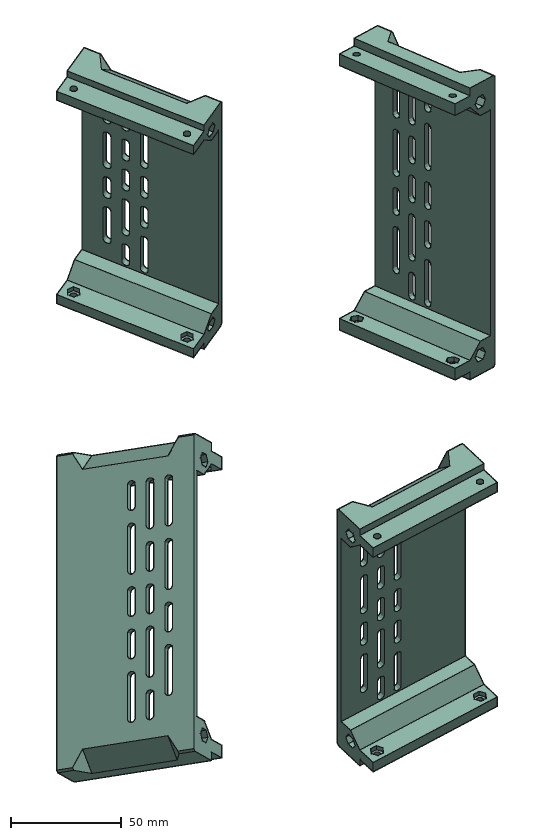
import cadquery as cq
import math

width = 70.0
depth = 27.0
height = 150.0
top = height / 2

hexagon_ratio = math.cos(math.pi / 6)

plate_thickness = 3.05
rail_depth = 17.0
rail_height = 17.0
rail_slope = 7.0
ledge_offset = 4.0
ledge_thickness = rail_height - rail_slope - ledge_offset
ledge_top = top - ledge_offset
ledge_bottom = ledge_top - ledge_thickness
back_chamfer = 1.0

channel_across_flats = 6.0
channel_corner_diameter = channel_across_flats / hexagon_ratio
channel_from_back = 10.0
channel_from_end = 10.0

screw_diameter = 3.3
screw_from_side = 6.0
screw_from_front = 5.0
nut_across_flats = 5.5
nut_corner_diameter = nut_across_flats / hexagon_ratio
nut_pocket_depth = 2.5

notch_depth = 9.0
notch_floor_width = 43.5
notch_mouth_width = 55.0

slot_width = 3.85
slot_gap = 6.0
long_slot = 24.0
short_slot = 14.0
first_column_from_side = 12.9
column_spacing = 9.5
slot_start_from_end = rail_height + 1.0
slot_columns = [
    [long_slot, long_slot, short_slot, long_slot],
    [long_slot, short_slot, short_slot, long_slot, short_slot],
    [short_slot, long_slot, short_slot, short_slot, long_slot],
]


def extrude_along_x(points):
    """Extrude a closed (Y, Z) outline over the full width."""
    return cq.Workplane("YZ").polyline(points).close().extrude(width / 2, both=True)


def make_plate():
    """Flat plate joining the two rails."""
    plate_height = height - 2 * rail_height
    plate = cq.Workplane("XY").box(width, plate_thickness, plate_height)
    return plate.translate((0, -plate_thickness / 2, 0))


def make_rail():
    """Upper rail with its ledge."""
    return extrude_along_x([
        (0, top),
        (-rail_depth, top),
        (-rail_depth, ledge_top),
        (-depth, ledge_top),
        (-depth, ledge_bottom),
        (-rail_depth, ledge_bottom),
        (-rail_depth + rail_slope, top - rail_height),
        (0, top - rail_height),
    ])


def make_back_chamfer():
    """Triangular strip that bevels the upper back edge."""
    return extrude_along_x([(0, top), (-back_chamfer, top), (0, top - back_chamfer)])


def make_channel():
    """Hexagonal channel along the upper rail."""
    return (
        cq.Workplane("YZ")
        .center(-channel_from_back, top - channel_from_end)
        .polygon(6, channel_corner_diameter)
        .extrude(width / 2, both=True)
    )


def make_screw_cuts():
    """Screw holes through the upper ledge, with nut pockets in its inner face."""
    screw_x = width / 2 - screw_from_side
    screw_y = -depth + screw_from_front
    screw_points = [(-screw_x, screw_y), (screw_x, screw_y)]
    base = cq.Workplane("XY", origin=(0, 0, ledge_bottom)).pushPoints(screw_points)
    holes = base.circle(screw_diameter / 2).extrude(ledge_thickness)
    pockets = base.polygon(6, nut_corner_diameter).extrude(nut_pocket_depth)
    return holes.union(pockets)


def make_notch():
    """Wedge with a 45 degree floor and slanted side walls, open to the end and the back."""
    half_floor = notch_floor_width / 2
    half_mouth = notch_mouth_width / 2
    left_mouth = cq.Vector(-half_mouth, 0, top)
    right_mouth = cq.Vector(half_mouth, 0, top)
    left_inner = cq.Vector(-half_floor, -notch_depth, top)
    right_inner = cq.Vector(half_floor, -notch_depth, top)
    left_low = cq.Vector(-half_floor, 0, top - notch_depth)
    right_low = cq.Vector(half_floor, 0, top - notch_depth)
    outlines = [
        [left_mouth, right_mouth, right_inner, left_inner],
        [left_mouth, left_low, right_low, right_mouth],
        [left_inner, right_inner, right_low, left_low],
        [left_mouth, left_inner, left_low],
        [right_mouth, right_low, right_inner],
    ]
    faces = [cq.Face.makeFromWires(cq.Wire.makePolygon(corners, close=True)) for corners in outlines]
    return cq.Workplane(obj=cq.Solid.makeSolid(cq.Shell.makeShell(faces)))


def make_slots():
    """Round-ended slots through the plate, in columns."""
    slots = cq.Workplane("XZ")
    for column, lengths in enumerate(slot_columns):
        x = -width / 2 + first_column_from_side + column * column_spacing
        slot_top = top - slot_start_from_end
        for length in lengths:
            sketch = cq.Workplane("XZ").center(x, slot_top - length / 2)
            slot = sketch.slot2D(length, slot_width, angle=90).extrude(plate_thickness)
            slots = slots.union(slot)
            slot_top -= length + slot_gap
    return slots


def make_upper_end():
    """Complete upper rail; the lower one is its mirror image."""
    rail = make_rail().cut(make_back_chamfer())
    return rail.cut(make_channel()).cut(make_screw_cuts()).cut(make_notch())


upper_end = make_upper_end()
lower_end = upper_end.mirror("XY")
slotted_plate = make_plate().cut(make_slots())
result = slotted_plate.union(upper_end).union(lower_end)